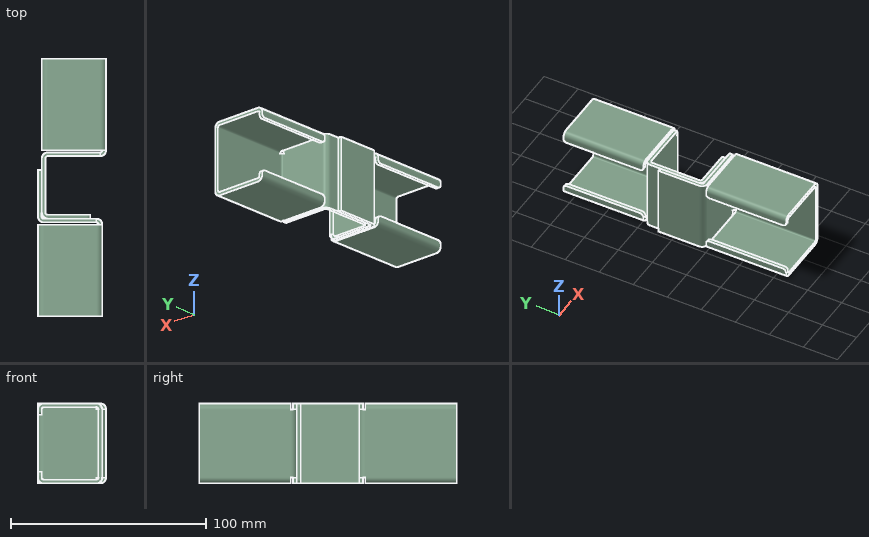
import cadquery as cq
import math


total_length = 132.0
height = 41.0
channel_width = 33.0
sheet = 2.0
inner_bend = 1.0
leg_length = 50.0
overlap = 25.0
lip_depth = 6.0
lip_corner_radius = 2.0
tab_corner_radius = 2.0

half_sheet = sheet / 2
outer_bend = inner_bend + sheet
middle_bend = inner_bend + half_sheet
channel_length = leg_length - outer_bend
web_x = channel_width - half_sheet
plate_y = leg_length - half_sheet
flap_end_y = leg_length + overlap
tab_y = total_length - leg_length - half_sheet
tab_end_x = overlap


def rounded_path(plane, points):
    """Open path through the points, with every inner corner rounded at the fold radius."""
    path = cq.Workplane(plane).moveTo(*points[0])
    for before, corner, after in zip(points, points[1:], points[2:]):
        to_before = math.dist(corner, before)
        to_after = math.dist(corner, after)
        arc_start = [c + (b - c) * middle_bend / to_before for c, b in zip(corner, before)]
        arc_end = [c + (a - c) * middle_bend / to_after for c, a in zip(corner, after)]
        path = path.lineTo(*arc_start).tangentArcPoint(arc_end, relative=False)
    return path.lineTo(*points[-1])


def lipped_channel():
    """C channel along Y, open toward -X, with the free corners of both lips rounded."""
    flange_z = (height - sheet) / 2
    lip_end_z = height / 2 - lip_depth
    section_path = rounded_path("XZ", [
        (half_sheet, lip_end_z),
        (half_sheet, flange_z),
        (web_x, flange_z),
        (web_x, -flange_z),
        (half_sheet, -flange_z),
        (half_sheet, -lip_end_z),
    ])
    channel = (
        cq.Workplane("XY", origin=(half_sheet, channel_length / 2, lip_end_z))
        .rect(sheet, channel_length)
        .sweep(section_path)
    )
    return channel.edges("|X").edges("<X").fillet(lip_corner_radius)


def folded_strip(wall_points):
    """Strip that runs along the web, across the channel end and on through wall_points."""
    strip_path = rounded_path("XY", [(web_x, 0), (web_x, plate_y), (half_sheet, plate_y), *wall_points])
    strip = cq.Workplane("XZ", origin=(web_x, 0, 0)).rect(sheet, height).sweep(strip_path)

    for side in (-1, 1):
        relief = (
            cq.Workplane("XY")
            .box(outer_bend, leg_length, outer_bend)
            .translate((channel_width - outer_bend / 2, leg_length / 2, side * (height - outer_bend) / 2))
        )
        strip = strip.cut(relief)
    return strip


def flap_bracket():
    """Bracket whose wall ends in a plain flap."""
    strip = folded_strip([(half_sheet, flap_end_y)])
    return lipped_channel().union(strip)


def tab_bracket():
    """Bracket whose wall folds once more into a tab with rounded corners."""
    strip = folded_strip([(half_sheet, tab_y), (tab_end_x, tab_y)])
    tab_tip = cq.selectors.BoxSelector(
        (tab_end_x - half_sheet, tab_y - sheet, -height),
        (tab_end_x + half_sheet, tab_y + sheet, height),
    )
    strip = strip.edges("|Y").edges(tab_tip).fillet(tab_corner_radius)
    return lipped_channel().union(strip)


lower_bracket = flap_bracket()

upper_bracket = tab_bracket().mirror("XZ").translate((sheet, total_length, 0))

result = cq.Compound.makeCompound([lower_bracket.val(), upper_bracket.val()])